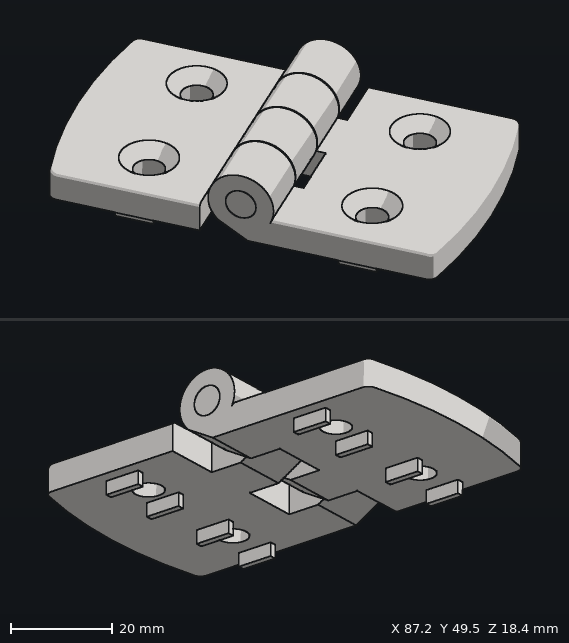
import cadquery as cq
import math

hinge_length = 87.21
hinge_width = 49.5

plate_thickness = 6.5
end_arc_radius = 100.0
corner_radius = 2.0
top_edge_radius = 1.0

barrel_radius = 6.9
axis_height = 8.5
pin_radius = 3.2

knuckle_count = 4
knuckle_gap = 0.25
slot_depth_from_axis = 8.65
web_slope_angle = 30.0
web_contact_angle = 45.0

hole_offset_x = 23.5
hole_offset_y = 13.5
hole_diameter = 6.5
countersink_diameter = 12.0
countersink_angle = 90.0

foot_length = 8.0
foot_width = 1.5
foot_height = 3.0
foot_centers_y = (21.15, 7.7, -8.25, -21.15)

half_length = hinge_length / 2
half_width = hinge_width / 2
knuckle_pitch = hinge_width / knuckle_count

contact_x = barrel_radius * math.sin(math.radians(web_contact_angle))
contact_z = axis_height - barrel_radius * math.cos(math.radians(web_contact_angle))
heel_x = contact_x - contact_z / math.tan(math.radians(web_slope_angle))


def make_plate():
    """Left plate with a bowed outer end, rounded corners and a rounded top edge on three sides."""
    bow = end_arc_radius - math.sqrt(end_arc_radius**2 - half_width**2)
    corner_x = bow - half_length
    plate = (
        cq.Workplane("XY")
        .moveTo(heel_x, -half_width)
        .lineTo(corner_x, -half_width)
        .threePointArc((-half_length, 0), (corner_x, half_width))
        .lineTo(heel_x, half_width)
        .close()
        .extrude(plate_thickness)
    )
    plate = plate.edges("|Z and (not >X)").fillet(corner_radius)
    return plate.faces(">Z").edges("not >X").fillet(top_edge_radius)


def make_knuckle_row():
    """Full-width barrel on the pin axis with the web that carries it down to the plate underside."""
    return (
        cq.Workplane("XZ", origin=(0, half_width, 0))
        .moveTo(heel_x, 0)
        .lineTo(contact_x, contact_z)
        .threePointArc((0, axis_height + barrel_radius), (-contact_x, contact_z))
        .close()
        .extrude(hinge_width)
    )


def make_pin():
    """Plain pin, flush with both ends of the barrel."""
    return (
        cq.Workplane("XZ", origin=(0, half_width, axis_height))
        .circle(pin_radius)
        .extrude(hinge_width)
    )


def make_knuckle_slots():
    """Blocks that clear every second knuckle position, with half a gap to the neighbours."""
    slots = cq.Workplane("XY")
    slot_length = slot_depth_from_axis + barrel_radius
    slot_height = axis_height + barrel_radius
    for index in range(0, knuckle_count, 2):
        start_y = index * knuckle_pitch - half_width
        end_y = start_y + knuckle_pitch + knuckle_gap / 2
        if index > 0:
            start_y -= knuckle_gap / 2
        slot = cq.Workplane("XY").box(slot_length, end_y - start_y, slot_height, centered=False)
        slots = slots.add(slot.translate((-slot_depth_from_axis, start_y, 0)))
    return slots.combine()


def make_feet():
    """Row of small rectangular feet under the plate, in line with the screw holes."""
    foot_points = [(-hole_offset_x, center_y) for center_y in foot_centers_y]
    return (
        cq.Workplane("XY")
        .pushPoints(foot_points)
        .rect(foot_length, foot_width)
        .extrude(-foot_height)
    )


def make_leaf():
    """Left leaf: plate, two knuckles bored for the pin, countersunk holes and feet."""
    leaf = make_plate().union(make_knuckle_row())
    leaf = leaf.cut(make_knuckle_slots()).cut(make_pin())
    hole_points = [(-hole_offset_x, side * hole_offset_y) for side in (-1, 1)]
    leaf = (
        leaf.union(make_feet())
        .copyWorkplane(cq.Workplane("XY", origin=(0, 0, plate_thickness)))
        .pushPoints(hole_points)
        .cskHole(hole_diameter, countersink_diameter, countersink_angle, plate_thickness)
    )
    return leaf


left_leaf = make_leaf()

right_leaf = left_leaf.rotate((0, 0, 0), (0, 0, 1), 180)

pin = make_pin()

result = cq.Compound.makeCompound([left_leaf.solids().val(), right_leaf.solids().val(), pin.val()])